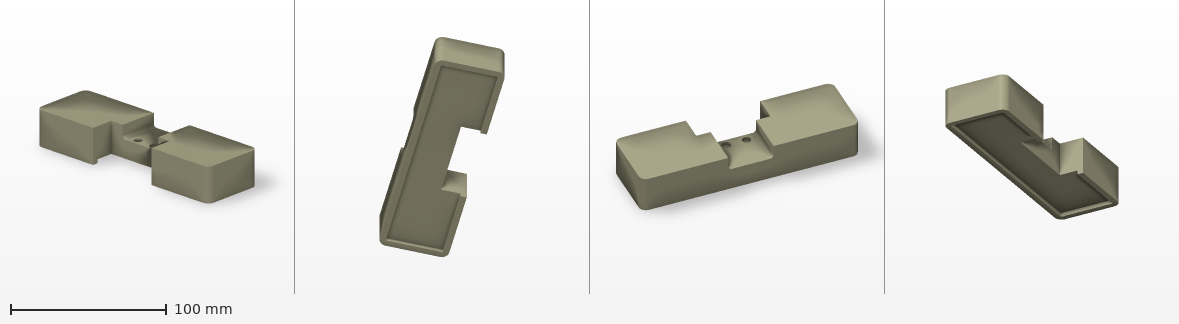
import cadquery as cq

length = 152.0
width = 46.0
height = 25.5
corner_radius = 5.0

notch_length = 51.7
notch_depth = 17.0

channel_width = 31.6
channel_depth = 9.7
channel_fillet = 2.6

hole_diameter = 6.1
hole_spacing = 14.0
hole_setback = 5.0
hole_depth = 2.7

recess_depth = 2.7
rim_thickness = 4.1

front_y = -width / 2
notch_back_y = front_y + notch_depth
channel_floor_z = height - channel_depth


def rounded_block():
    block = cq.Workplane("XY").box(length, width, height, centered=(True, True, False))
    return block.edges("|Z").fillet(corner_radius)


def front_notch():
    notch = cq.Workplane("XY").box(notch_length, notch_depth, height, centered=(True, False, False))
    return notch.translate((0, front_y, 0))


def top_channel():
    channel = cq.Workplane("XY").box(channel_width, width, channel_depth, centered=(True, True, False))
    return channel.edges("|Y and <Z").fillet(channel_fillet).translate((0, 0, channel_floor_z))


def floor_holes():
    hole_y = notch_back_y + hole_setback
    return (
        cq.Workplane("XY", origin=(0, hole_y, channel_floor_z))
        .pushPoints([(-hole_spacing / 2, 0), (hole_spacing / 2, 0)])
        .circle(hole_diameter / 2)
        .extrude(-hole_depth)
    )


def bottom_recess():
    recess_length = length - 2 * rim_thickness
    recess_width = width - 2 * rim_thickness
    recess_corner_radius = corner_radius - rim_thickness
    recess = cq.Workplane("XY").box(recess_length, recess_width, recess_depth, centered=(True, True, False))
    return recess.edges("|Z").fillet(recess_corner_radius)


result = (
    rounded_block()
    .cut(front_notch())
    .cut(top_channel())
    .cut(floor_holes())
    .cut(bottom_recess())
)